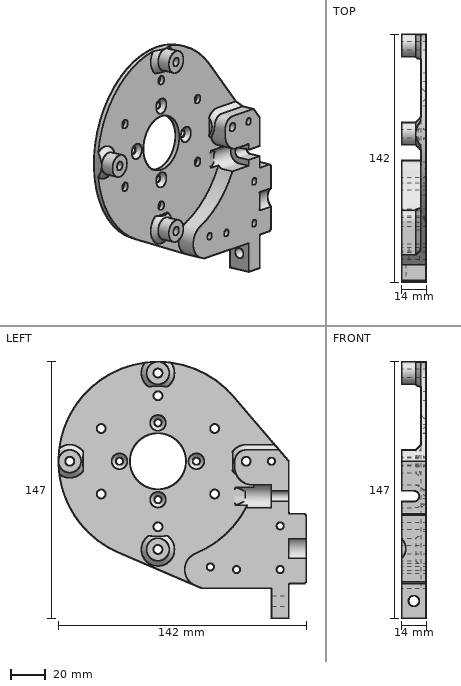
import math

import cadquery as cq


thickness = 14.0
plate_thickness = 3.0
plate_face_x = thickness - plate_thickness
disc_radius = 57.0
mid_x = thickness / 2

edge_u = 75.0
edge_top_z = 0.0
bottom_z = -72.75
bottom_left_u = 25.0
tab_width = 10.0
tab_left_u = edge_u - tab_width
tab_bottom_z = -90.0
tab_hole_z = -80.0
cross_hole_diameter = 6.0
block_right_u = 85.0
block_top_z = -30.0
block_bottom_z = -70.0
block_chamfer = 1.0
root_fillet = 0.7
groove_z = (block_top_z + block_bottom_z) / 2
groove_radius = 7.5
groove_depth = 2.4

standoff_distance = 50.5
standoff_radius = disc_radius - standoff_distance
foot_height = 3.0
clearance_radius = 43.0

pad_corner_radius = 10.0
raised_blend_radius = 10.0

slot_z = -20.0
slot_radius = 6.5
slot_start_u = 50.0
pad_end_u = 55.0
runout_length = 6.5
runout_end_radius = 42.0

bore_radius = 16.0
through_hole_diameter = 5.0
ring_hole_distance = 37.5
ring_hole_count = 6
screw_hole_count = 4
screw_hole_distance = 22.0
screw_hole_diameter = 4.0
countersink_diameter = 9.0
countersink_angle = 90.0
fixing_hole_diameter = 4.0
fixing_holes = [(65.0, 0.0), (70.0, -37.0), (70.0, -62.0), (45.0, -62.0), (30.0, -60.5)]

standoff_centres = [(-standoff_distance, 0), (0, standoff_distance), (0, -standoff_distance)]
pad_centre = (standoff_distance, 0)


def sketch(x):
    """Workplane at the given x with local axes (u, z) and its normal towards -X."""
    return cq.Workplane(cq.Plane(origin=(x, 0, 0), xDir=(0, -1, 0), normal=(-1, 0, 0)))


def disc(x_start, x_end, centre, radius):
    return sketch(x_end).center(*centre).circle(radius).extrude(x_end - x_start)


def polar(radius, angle):
    return (radius * math.cos(angle), radius * math.sin(angle))


def tangent_angle(point, side):
    """Angle on the disc where the tangent line from the point touches; side is +1 or -1."""
    distance = math.hypot(*point)
    return math.atan2(point[1], point[0]) + side * math.acos(disc_radius / distance)


edge_corner = (edge_u, edge_top_z)
bottom_corner = (bottom_left_u, bottom_z)
upper_tangent_angle = tangent_angle(edge_corner, 1)
lower_tangent_angle = tangent_angle(bottom_corner, -1)


def body_blank(front_x):
    """Outline of disc, two tangent edges, bottom edge and tab, from front_x to the back of the plate."""
    return (
        sketch(thickness)
        .moveTo(*edge_corner)
        .lineTo(*polar(disc_radius, upper_tangent_angle))
        .threePointArc((-disc_radius, 0), polar(disc_radius, lower_tangent_angle))
        .lineTo(*bottom_corner)
        .lineTo(tab_left_u, bottom_z)
        .lineTo(tab_left_u, tab_bottom_z)
        .lineTo(edge_u, tab_bottom_z)
        .close()
        .extrude(thickness - front_x)
    )


def raised_area():
    """Region left at full thickness: the pad above the slot and the area outside the disc arc."""
    pad_left_u = pad_centre[0] - standoff_radius
    pad_bottom_z = slot_z + slot_radius
    corner_centre = (pad_left_u + pad_corner_radius, pad_bottom_z + pad_corner_radius)
    corner_mid = polar(pad_corner_radius, math.radians(225))
    pad_mid = polar(standoff_radius, math.radians(135))

    r = raised_blend_radius
    blend_distance = disc_radius + r
    blend_angle = lower_tangent_angle + math.acos((disc_radius - r) / blend_distance)
    blend_centre = polar(blend_distance, blend_angle)
    blend_offset = polar(r, lower_tangent_angle)
    blend_end = (blend_centre[0] + blend_offset[0], blend_centre[1] + blend_offset[1])
    blend_mid = (blend_centre[0] - r, blend_centre[1])
    arc_start_angle = math.asin(slot_z / disc_radius)
    arc_mid_angle = (arc_start_angle + blend_angle) / 2

    return (
        sketch(thickness)
        .moveTo(block_right_u, standoff_radius)
        .lineTo(pad_centre[0], standoff_radius)
        .threePointArc(
            (pad_centre[0] + pad_mid[0], pad_centre[1] + pad_mid[1]),
            (pad_left_u, pad_centre[1]),
        )
        .lineTo(pad_left_u, corner_centre[1])
        .threePointArc(
            (corner_centre[0] + corner_mid[0], corner_centre[1] + corner_mid[1]),
            (corner_centre[0], pad_bottom_z),
        )
        .lineTo(pad_end_u, pad_bottom_z)
        .lineTo(pad_end_u, slot_z)
        .lineTo(*polar(disc_radius, arc_start_angle))
        .threePointArc(polar(disc_radius, arc_mid_angle), polar(disc_radius, blend_angle))
        .threePointArc(blend_mid, blend_end)
        .lineTo(*bottom_corner)
        .lineTo(bottom_left_u, tab_bottom_z)
        .lineTo(block_right_u, tab_bottom_z)
        .close()
        .extrude(thickness)
    )


def foot(centre):
    """Cone widening by its own height towards the plate."""
    return (
        sketch(plate_face_x)
        .center(*centre)
        .circle(standoff_radius + foot_height)
        .workplane(offset=foot_height)
        .circle(standoff_radius)
        .loft(ruled=True)
    )


def pad_foot():
    """Cone at the pad corner, continued as a straight bevel along the top of the pad."""
    bevel = (
        cq.Workplane("XZ", origin=(0, -pad_centre[0], 0))
        .moveTo(plate_face_x, standoff_radius + foot_height)
        .lineTo(plate_face_x, standoff_radius)
        .lineTo(plate_face_x - foot_height, standoff_radius)
        .close()
        .extrude(edge_u - pad_centre[0])
    )
    return foot(pad_centre).union(bevel)


def along_edge(x, z, radius, u_start, u_end):
    """Cylinder running along u."""
    return cq.Workplane("XZ", origin=(0, -u_start, 0)).center(x, z).circle(radius).extrude(u_end - u_start)


def block():
    """Block standing out from the right-hand edge, with a round-bottomed groove across it."""
    solid = (
        sketch(thickness)
        .moveTo(tab_left_u, block_top_z)
        .lineTo(block_right_u, block_top_z)
        .lineTo(block_right_u, block_bottom_z)
        .lineTo(tab_left_u, block_bottom_z)
        .close()
        .extrude(thickness)
        .edges("|X and <Y")
        .chamfer(block_chamfer)
    )
    groove = along_edge(groove_depth - groove_radius, groove_z, groove_radius, edge_u, block_right_u)
    return solid.cut(groove)


def open_slot(radius, u_start, u_end):
    """Round-bottomed slot about the mid plane, open towards the mounting face."""
    length = u_end - u_start
    walls = (
        cq.Workplane("XZ", origin=(0, -u_start, 0))
        .center(mid_x / 2, slot_z)
        .rect(mid_x, 2 * radius)
        .extrude(length)
    )
    return walls.union(along_edge(mid_x, slot_z, radius, u_start, u_end))


def slot_runout():
    """Ramp from the slot floor up to the plate face, its section flattening towards the inner end."""
    end_u = slot_start_u - runout_length
    ramp = (
        cq.Workplane("XZ", origin=(0, -end_u, 0))
        .center(plate_face_x - runout_end_radius, slot_z)
        .circle(runout_end_radius)
        .workplane(offset=runout_length)
        .center(mid_x - plate_face_x + runout_end_radius, 0)
        .circle(slot_radius)
        .loft(ruled=True)
    )
    bore = along_edge(mid_x, slot_z, slot_radius, end_u, slot_start_u)
    return bore.intersect(ramp)


def holes():
    ring_step = 2 * math.pi / ring_hole_count
    ring = [polar(ring_hole_distance, ring_step * (i + 0.5)) for i in range(ring_hole_count)]
    through = ring + standoff_centres + [pad_centre]
    plain = sketch(thickness).pushPoints(through).circle(through_hole_diameter / 2).extrude(thickness)
    fixing = sketch(thickness).pushPoints(fixing_holes).circle(fixing_hole_diameter / 2).extrude(thickness)
    return plain.union(fixing).union(disc(0, thickness, (0, 0), bore_radius))


blank = body_blank(0)
plate = body_blank(plate_face_x)
feet = pad_foot()
for centre in standoff_centres:
    feet = feet.union(foot(centre))
feet = feet.intersect(blank).cut(disc(0, plate_face_x, (0, 0), clearance_radius))

result = plate.union(blank.intersect(raised_area())).union(feet)
for centre in standoff_centres:
    result = result.union(disc(0, plate_face_x, centre, standoff_radius))
result = result.union(block())
block_roots = cq.selectors.BoxSelector(
    (0, -edge_u - root_fillet, block_bottom_z - root_fillet),
    (thickness, -edge_u + root_fillet, block_top_z + root_fillet),
)
result = result.edges("|X").edges(block_roots).fillet(root_fillet)

result = result.cut(open_slot(slot_radius, slot_start_u, tab_left_u))
result = result.cut(open_slot(cross_hole_diameter / 2, tab_left_u, edge_u))
result = result.cut(slot_runout())
result = result.cut(holes())

result = result.cut(along_edge(mid_x, tab_hole_z, cross_hole_diameter / 2, tab_left_u, edge_u))

screw_step = 2 * math.pi / screw_hole_count
screw_holes = [polar(screw_hole_distance, screw_step * i) for i in range(screw_hole_count)]
result = (
    result.copyWorkplane(sketch(plate_face_x))
    .pushPoints(screw_holes)
    .cskHole(screw_hole_diameter, countersink_diameter, countersink_angle)
)